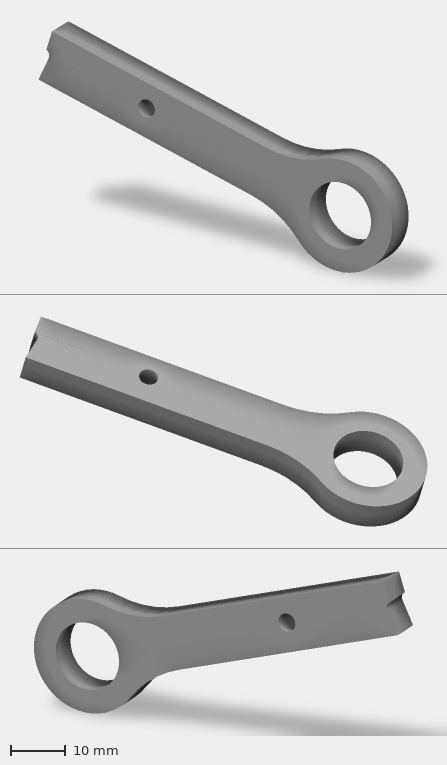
import cadquery as cq
import math

THICKNESS = 6.0
RING_RADIUS = 11.0
BORE_DIAMETER = 13.0

ARM_TILT = 17.33
ARM_WIDTH = 10.4
ARM_LENGTH = 65.45
NECK_RADIUS = 20.0
PIN_HOLE_DIAMETER = 3.5
PIN_HOLE_DISTANCE = 43.0
PIN_HOLE_OFFSET = 0.4

SLIT_WIDTH = 0.02
SLIT_LENGTH = 10.3
SLIT_OFFSET = 1.2
LOWER_LIP_SETBACK = 0.24
LIP_SLANT = 8.0
HOLLOW_RADIUS = 1.2


def plate(sketch):
    """Extrude an outline through the full thickness, centred on Y = 0."""
    return sketch.extrude(THICKNESS / 2, both=True)


def arm_plane():
    """Vertical plane with local x pointing along the arm and local y up across it."""
    tilt = math.radians(ARM_TILT)
    along_arm = cq.Vector(-math.cos(tilt), 0, math.sin(tilt))
    return cq.Workplane(cq.Plane(origin=(0, 0, 0), xDir=along_arm, normal=(0, 1, 0)))


def body():
    """Ring and arm in one outline, joined by necks tangent to both."""
    half_width = ARM_WIDTH / 2
    neck_y = half_width + NECK_RADIUS
    neck_x = math.sqrt((RING_RADIUS + NECK_RADIUS) ** 2 - neck_y**2)
    ring_share = RING_RADIUS / (RING_RADIUS + NECK_RADIUS)
    ring_x = neck_x * ring_share
    ring_y = neck_y * ring_share

    half_sweep = math.atan2(neck_x, neck_y) / 2
    mid_x = neck_x - NECK_RADIUS * math.sin(half_sweep)
    mid_y = neck_y - NECK_RADIUS * math.cos(half_sweep)

    outline = (
        arm_plane()
        .moveTo(ARM_LENGTH, -half_width)
        .lineTo(ARM_LENGTH, half_width)
        .lineTo(neck_x, half_width)
        .threePointArc((mid_x, mid_y), (ring_x, ring_y))
        .threePointArc((-RING_RADIUS, 0), (ring_x, -ring_y))
        .threePointArc((mid_x, -mid_y), (neck_x, -half_width))
        .close()
    )
    return plate(outline)


def bore():
    return plate(arm_plane().circle(BORE_DIAMETER / 2))


def pin_hole():
    centre = (PIN_HOLE_DISTANCE, PIN_HOLE_OFFSET)
    return plate(arm_plane().moveTo(*centre).circle(PIN_HOLE_DIAMETER / 2))


def slit():
    middle = (ARM_LENGTH - SLIT_LENGTH / 2, SLIT_OFFSET)
    return plate(arm_plane().moveTo(*middle).rect(SLIT_LENGTH, SLIT_WIDTH))


def lower_lip_relief():
    """Waste in front of the lower lip: a face slanting in from the corner, rounded into the slit."""
    slant = math.radians(LIP_SLANT)
    corner = (ARM_LENGTH - LOWER_LIP_SETBACK, -ARM_WIDTH / 2)
    lip_y = SLIT_OFFSET - SLIT_WIDTH / 2
    apex_x = corner[0] - (lip_y - corner[1]) * math.tan(slant)

    apex_angle = math.pi / 2 - slant
    tangent_length = HOLLOW_RADIUS / math.tan(apex_angle / 2)
    centre_x = apex_x + tangent_length
    centre_y = lip_y - HOLLOW_RADIUS
    hollow_middle = (
        centre_x - HOLLOW_RADIUS * math.cos(apex_angle / 2),
        centre_y + HOLLOW_RADIUS * math.sin(apex_angle / 2),
    )
    hollow_end = (
        apex_x + tangent_length * math.sin(slant),
        lip_y - tangent_length * math.cos(slant),
    )
    outline = (
        arm_plane()
        .moveTo(centre_x, lip_y)
        .threePointArc(hollow_middle, hollow_end)
        .lineTo(*corner)
        .lineTo(ARM_LENGTH + HOLLOW_RADIUS, corner[1])
        .lineTo(ARM_LENGTH + HOLLOW_RADIUS, lip_y)
        .close()
    )
    return plate(outline)


result = body().cut(bore()).cut(pin_hole()).cut(slit()).cut(lower_lip_relief())